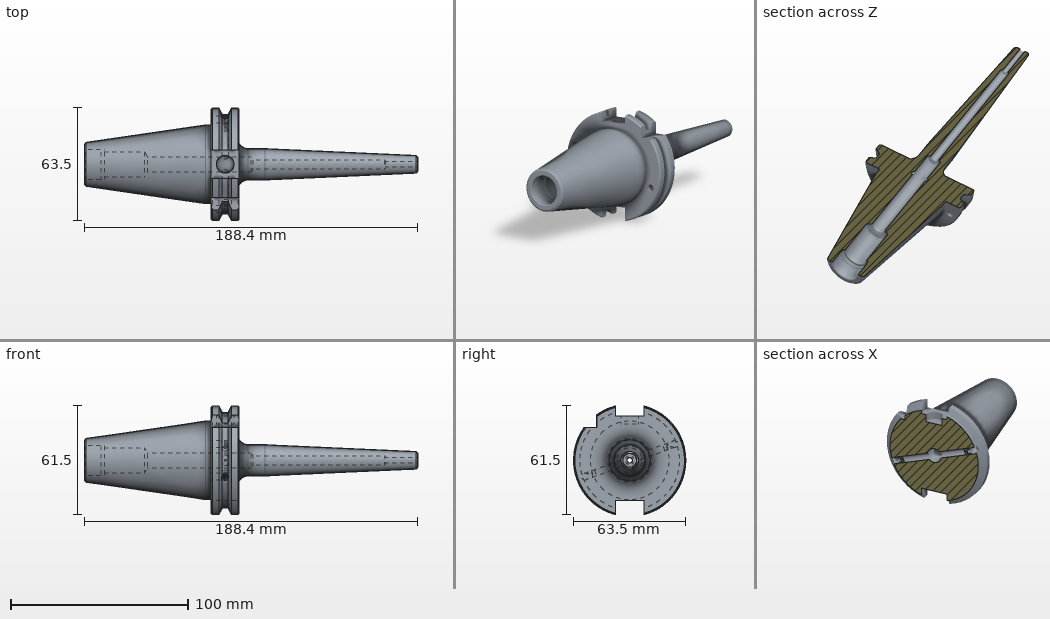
import cadquery as cq
import math

TAPER_LENGTH = 68.4
GAUGE_DIA = 44.5
TAPER_RATIO = 7 / 24
TAIL_DIA = GAUGE_DIA - TAPER_LENGTH * TAPER_RATIO
TAIL_CHAMFER = 1.0

COLLAR_LENGTH = 3.2
FLANGE_DIA = 63.5
FLANGE_WIDTH = 15.8
FLANGE_CHAMFER = 0.8
FLANGE_BACK = TAPER_LENGTH + COLLAR_LENGTH
FLANGE_FRONT = FLANGE_BACK + FLANGE_WIDTH
GROOVE_FROM_GAUGE = 11.1
GROOVE_X = TAPER_LENGTH + GROOVE_FROM_GAUGE
GROOVE_FLOOR_DIA = 56.3
GROOVE_LIP_WIDTH = 7.2
GROOVE_FLOOR_WIDTH = 3.4

SLOT_WIDTH = 16.0
TOP_SLOT_FLOOR = 25.0
BOTTOM_SLOT_FLOOR = 22.8
NOTCH_OFFSET = 18.7
CHIP_HOLE_DIA = 10.0
CHIP_HOLE_DEPTH = 4.5

TOTAL_LENGTH = 188.4
NOSE_ROOT_DIA = 17.7
NOSE_TIP_DIA = 10.0
NOSE_BLEND_LENGTH = 5.0
NOSE_BLEND_RADIUS = 6.0
NOSE_CYLINDER_LENGTH = 9.6
NOSE_BLEND_END = FLANGE_FRONT + NOSE_BLEND_LENGTH
NOSE_CONE_START = NOSE_BLEND_END + NOSE_CYLINDER_LENGTH
TIP_CHAMFER = 1.1

DRILL_HALF_ANGLE = 59
MOUTH_DIA = 17.7
COUNTERBORE_DIA = 17.0
COUNTERBORE_DEPTH = 9.2
THREAD_DIA = 16.4
THREAD_END = 11.3
CORE_BORE_DIA = 14.1
CORE_BORE_END = 34.0
FEED_BORE_DIA = 8.5
FEED_BORE_END = 94.2
RELIEF_BORE_DIA = 5.0
RELIEF_BORE_END = 169.5
CLAMP_BORE_DIA = 3.0

CHANNEL_ANGLES = (20, 200)
FEED_HOLE_DIA = 4.0
FEED_CIRCLE_RADIUS = 27.0
SCREW_DIA = 3.5
SCREW_HEAD_RADIUS = 24.5
SCREW_LENGTH = 4.0
SOCKET_FLATS = 1.9
SOCKET_DEPTH = 1.9


def cone_length(start_dia, end_dia):
    """Axial length of a drill-point cone between two diameters."""
    return (start_dia - end_dia) / 2 / math.tan(math.radians(DRILL_HALF_ANGLE))


def revolve_about_x(profile):
    return profile.close().revolve(360, (0, 0, 0), (1, 0, 0))


def outer_blank():
    blend_centre_r = NOSE_ROOT_DIA / 2 + NOSE_BLEND_RADIUS
    blend_start_r = blend_centre_r - math.sqrt(NOSE_BLEND_RADIUS**2 - NOSE_BLEND_LENGTH**2)
    half_sweep = math.asin(NOSE_BLEND_LENGTH / NOSE_BLEND_RADIUS) / 2
    blend_mid = (
        NOSE_BLEND_END - NOSE_BLEND_RADIUS * math.sin(half_sweep),
        blend_centre_r - NOSE_BLEND_RADIUS * math.cos(half_sweep),
    )
    flange_r = FLANGE_DIA / 2
    tail_chamfer_r = TAIL_DIA / 2 + TAIL_CHAMFER * TAPER_RATIO / 2
    groove_lip_half = GROOVE_LIP_WIDTH / 2
    groove_floor_half = GROOVE_FLOOR_WIDTH / 2
    profile = (
        cq.Workplane("XY")
        .moveTo(0, 0)
        .lineTo(0, TAIL_DIA / 2 - TAIL_CHAMFER)
        .lineTo(TAIL_CHAMFER, tail_chamfer_r)
        .lineTo(TAPER_LENGTH, GAUGE_DIA / 2)
        .lineTo(FLANGE_BACK, GAUGE_DIA / 2)
        .lineTo(FLANGE_BACK, flange_r - FLANGE_CHAMFER)
        .lineTo(FLANGE_BACK + FLANGE_CHAMFER, flange_r)
        .lineTo(GROOVE_X - groove_lip_half, flange_r)
        .lineTo(GROOVE_X - groove_floor_half, GROOVE_FLOOR_DIA / 2)
        .lineTo(GROOVE_X + groove_floor_half, GROOVE_FLOOR_DIA / 2)
        .lineTo(GROOVE_X + groove_lip_half, flange_r)
        .lineTo(FLANGE_FRONT - FLANGE_CHAMFER, flange_r)
        .lineTo(FLANGE_FRONT, flange_r - FLANGE_CHAMFER)
        .lineTo(FLANGE_FRONT, blend_start_r)
        .threePointArc(blend_mid, (NOSE_BLEND_END, NOSE_ROOT_DIA / 2))
        .lineTo(NOSE_CONE_START, NOSE_ROOT_DIA / 2)
        .lineTo(TOTAL_LENGTH - TIP_CHAMFER, NOSE_TIP_DIA / 2)
        .lineTo(TOTAL_LENGTH, NOSE_TIP_DIA / 2 - TIP_CHAMFER)
        .lineTo(TOTAL_LENGTH, 0)
    )
    return revolve_about_x(profile)


def stepped_bore():
    mouth_chamfer = (MOUTH_DIA - COUNTERBORE_DIA) / 2
    feed_start = CORE_BORE_END + cone_length(CORE_BORE_DIA, FEED_BORE_DIA)
    relief_start = FEED_BORE_END + cone_length(FEED_BORE_DIA, RELIEF_BORE_DIA)
    clamp_start = RELIEF_BORE_END + cone_length(RELIEF_BORE_DIA, CLAMP_BORE_DIA)
    profile = (
        cq.Workplane("XY")
        .moveTo(0, 0)
        .lineTo(0, MOUTH_DIA / 2)
        .lineTo(mouth_chamfer, COUNTERBORE_DIA / 2)
        .lineTo(COUNTERBORE_DEPTH, COUNTERBORE_DIA / 2)
        .lineTo(COUNTERBORE_DEPTH, THREAD_DIA / 2)
        .lineTo(THREAD_END, THREAD_DIA / 2)
        .lineTo(THREAD_END, CORE_BORE_DIA / 2)
        .lineTo(CORE_BORE_END, CORE_BORE_DIA / 2)
        .lineTo(feed_start, FEED_BORE_DIA / 2)
        .lineTo(FEED_BORE_END, FEED_BORE_DIA / 2)
        .lineTo(relief_start, RELIEF_BORE_DIA / 2)
        .lineTo(RELIEF_BORE_END, RELIEF_BORE_DIA / 2)
        .lineTo(clamp_start, CLAMP_BORE_DIA / 2)
        .lineTo(TOTAL_LENGTH, CLAMP_BORE_DIA / 2)
        .lineTo(TOTAL_LENGTH, 0)
    )
    return revolve_about_x(profile)


def drive_slot(floor, side):
    """Full-width slot across the flange, on the +Z (side 1) or -Z (side -1) edge."""
    height = FLANGE_DIA / 2
    return cq.Workplane("XY").box(FLANGE_WIDTH, SLOT_WIDTH, height).translate(
        (FLANGE_BACK + FLANGE_WIDTH / 2, 0, side * (floor + height / 2))
    )


def corner_notch():
    size = FLANGE_DIA / 2
    return cq.Workplane("XY").box(FLANGE_WIDTH, size, size).translate(
        (FLANGE_BACK + FLANGE_WIDTH / 2, -NOTCH_OFFSET - size / 2, NOTCH_OFFSET + size / 2)
    )


def chip_hole():
    return (
        cq.Workplane("XY", origin=(GROOVE_X, 0, TOP_SLOT_FLOOR))
        .circle(CHIP_HOLE_DIA / 2)
        .extrude(-CHIP_HOLE_DEPTH)
    )


def placed_on_flange(shape, angle):
    """Turn a shape made on the +Y side about the X axis."""
    return shape.rotate((0, 0, 0), (1, 0, 0), angle)


def coolant_channel():
    """Blind axial hole in the flange back that meets a radial hole from the groove to the bore."""
    feed_hole = (
        cq.Workplane("YZ", origin=(FLANGE_BACK, FEED_CIRCLE_RADIUS, 0))
        .circle(FEED_HOLE_DIA / 2)
        .extrude(GROOVE_X - FLANGE_BACK)
    )
    radial_hole = (
        cq.Workplane("XZ", origin=(GROOVE_X, 0, 0))
        .circle(SCREW_DIA / 2)
        .extrude(-FLANGE_DIA / 2)
    )
    return feed_hole.union(radial_hole)


def grub_screw():
    """Hexagon-socket screw that closes the radial hole just below the feed hole."""
    head = cq.Workplane("XZ", origin=(GROOVE_X, SCREW_HEAD_RADIUS, 0))
    body = head.circle(SCREW_DIA / 2).extrude(SCREW_LENGTH)
    socket = head.polygon(6, SOCKET_FLATS, circumscribed=True).extrude(SOCKET_DEPTH)
    return body.cut(socket)


holder = (
    outer_blank()
    .cut(stepped_bore())
    .cut(drive_slot(TOP_SLOT_FLOOR, 1))
    .cut(drive_slot(BOTTOM_SLOT_FLOOR, -1))
    .cut(corner_notch())
    .cut(chip_hole())
)
screws = []
for angle in CHANNEL_ANGLES:
    holder = holder.cut(placed_on_flange(coolant_channel(), angle))
    screws.append(placed_on_flange(grub_screw(), angle).val())

result = cq.Compound.makeCompound([holder.val(), *screws])